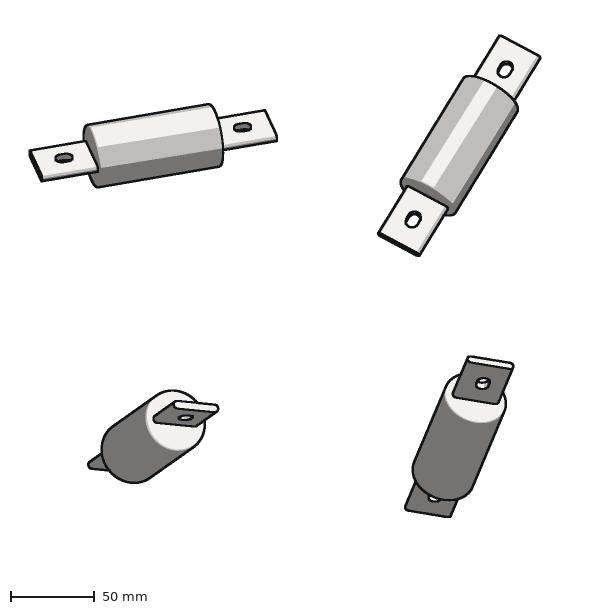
import cadquery as cq

total_length = 146.0
body_diameter = 38.1
body_length = 76.8
body_edge_fillet = 1.2

blade_width = 28.5
blade_thickness = 4.8

slot_width = 7.6
slot_length = 10.5
slot_spacing = 111.0


def make_body():
    """Cylindrical barrel with rounded end rims."""
    barrel = cq.Workplane("XZ", origin=(0, body_length / 2, 0)).circle(body_diameter / 2).extrude(body_length)
    return barrel.edges("%CIRCLE").fillet(body_edge_fillet)


def make_blade():
    """Full-length blade that sticks out of both ends of the barrel."""
    profile = cq.Workplane("XZ", origin=(0, total_length / 2, 0)).slot2D(blade_width, blade_thickness)
    return profile.extrude(total_length)


def make_slots():
    """Cutters for the slot through each exposed blade end."""
    return (
        cq.Workplane("XY")
        .pushPoints([(0, -slot_spacing / 2), (0, slot_spacing / 2)])
        .slot2D(slot_length, slot_width, 90)
        .extrude(blade_thickness, both=True)
    )


result = make_body().union(make_blade()).cut(make_slots())